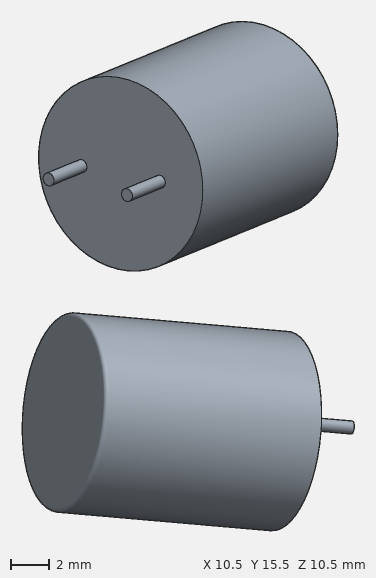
import cadquery as cq

total_length = 15.5
can_diameter = 10.5
pin_length = 3.0
pin_diameter = 0.7
pin_spacing = 5.0
rim_radius = 0.2

can_length = total_length - pin_length


def cylinder_along_y(x, start_y, length, diameter):
    """Solid cylinder running from start_y in the +Y direction."""
    plane = cq.Plane(origin=(x, start_y, 0), xDir=(1, 0, 0), normal=(0, 1, 0))
    return cq.Workplane(plane).circle(diameter / 2).extrude(length)


def make_can():
    """Cylindrical can with a flat pin face at Y = 0 and a rounded closed end."""
    can = cylinder_along_y(0, 0, can_length, can_diameter)
    return can.faces(">Y").edges().fillet(rim_radius)


def make_pin(x):
    """Round pin that butts against the flat face of the can."""
    return cylinder_along_y(x, -pin_length, pin_length, pin_diameter)


can = make_can()
pins = [make_pin(side * pin_spacing / 2) for side in (-1, 1)]

result = cq.Compound.makeCompound([can.val(), *[pin.val() for pin in pins]])